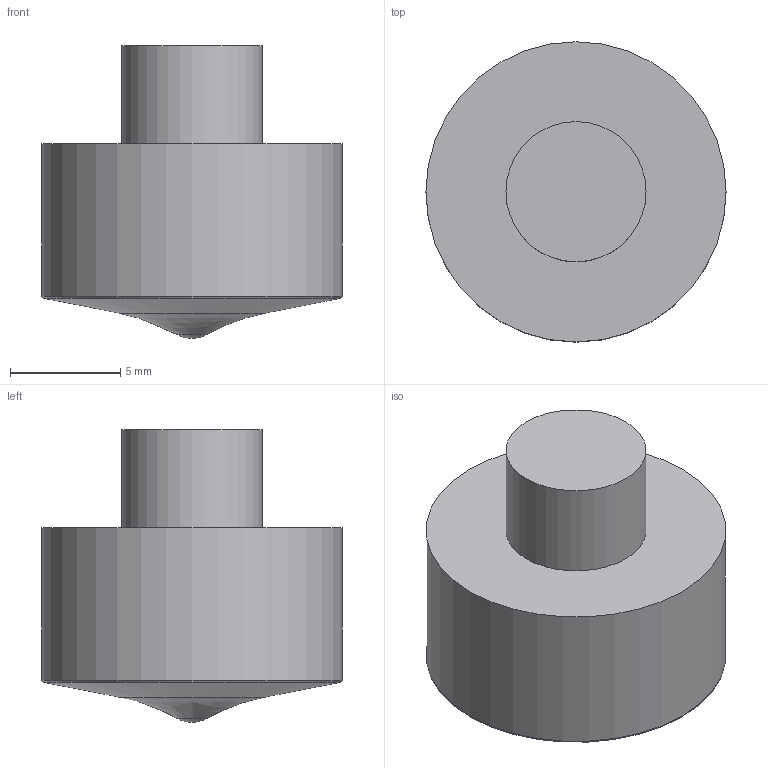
import cadquery as cq
import math

BODY_DIAMETER = 13.6
STEM_DIAMETER = 6.35
OVERALL_HEIGHT = 13.26
STEM_HEIGHT = 4.445
BODY_HEIGHT = 6.985
CONE_SLOPE = math.radians(11.2)
TIP_RADIUS = 1.4
BLEND_RADIUS = 9.0
RIM_FILLET = 0.1

body_radius = BODY_DIAMETER / 2
stem_radius = STEM_DIAMETER / 2
shoulder_z = OVERALL_HEIGHT - STEM_HEIGHT
rim_z = shoulder_z - BODY_HEIGHT


def point_at(center, radius, angle):
    """Point on a circle in the (radius, Z) half plane."""
    return (center[0] + radius * math.cos(angle), center[1] + radius * math.sin(angle))


def blend_center():
    """Center of the concave arc, tangent to the cone from below and to the tip arc."""
    cone_axis_z = rim_z - body_radius * math.tan(CONE_SLOPE)
    offset_axis_z = cone_axis_z - BLEND_RADIUS / math.cos(CONE_SLOPE)
    drop = TIP_RADIUS - offset_axis_z
    radius_sum = TIP_RADIUS + BLEND_RADIUS
    perpendicular = drop * math.cos(CONE_SLOPE)
    along = drop * math.sin(CONE_SLOPE) + math.sqrt(radius_sum**2 - perpendicular**2)
    return (along * math.cos(CONE_SLOPE), offset_axis_z + along * math.sin(CONE_SLOPE))


def make_part():
    """Revolve the half profile of stem, body and pointed underside about Z."""
    tip_center = (0, TIP_RADIUS)
    center = blend_center()

    to_cone = math.pi / 2 + CONE_SLOPE
    to_tip = math.atan2(tip_center[1] - center[1], tip_center[0] - center[0])
    blend_outer = point_at(center, BLEND_RADIUS, to_cone)
    blend_middle = point_at(center, BLEND_RADIUS, (to_cone + to_tip) / 2)
    blend_inner = point_at(center, BLEND_RADIUS, to_tip)

    tip_start = to_tip - math.pi
    straight_down = -math.pi / 2
    tip_middle = point_at(tip_center, TIP_RADIUS, (tip_start + straight_down) / 2)

    turn = math.pi / 2 - CONE_SLOPE
    fillet_center = (
        body_radius - RIM_FILLET,
        rim_z + RIM_FILLET * math.tan(turn / 2),
    )
    rim_outer = point_at(fillet_center, RIM_FILLET, 0)
    rim_middle = point_at(fillet_center, RIM_FILLET, -turn / 2)
    rim_inner = point_at(fillet_center, RIM_FILLET, -turn)

    profile = (
        cq.Workplane("XZ")
        .moveTo(0, 0)
        .threePointArc(tip_middle, blend_inner)
        .threePointArc(blend_middle, blend_outer)
        .lineTo(*rim_inner)
        .threePointArc(rim_middle, rim_outer)
        .lineTo(body_radius, shoulder_z)
        .lineTo(stem_radius, shoulder_z)
        .lineTo(stem_radius, OVERALL_HEIGHT)
        .lineTo(0, OVERALL_HEIGHT)
        .close()
    )
    return profile.revolve(360, (0, 0, 0), (0, 1, 0))


result = make_part()